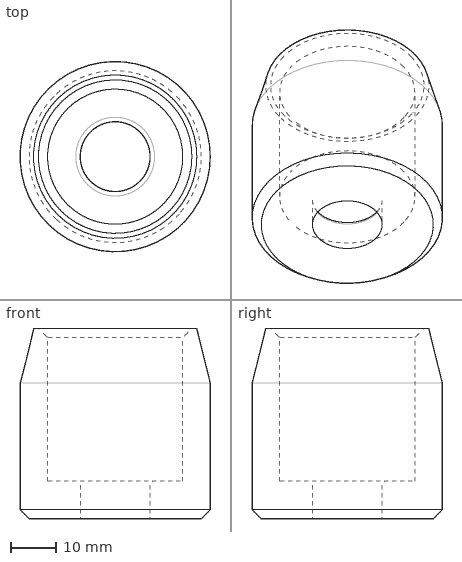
import cadquery as cq

height = 42.0
outer_diameter = 42.0
bottom_chamfer = 2.0

nose_height = 12.0
rim_diameter = 36.05

bore_diameter = 29.8
bore_mouth_diameter = 33.85
bore_mouth_depth = (bore_mouth_diameter - bore_diameter) / 2
floor_thickness = 8.4
floor_margin = 0.4
hole_diameter = 15.37
hole_edge_radius = 1.0


def make_body():
    """Revolve the outer profile about the Z axis."""
    outer_radius = outer_diameter / 2
    rim_radius = rim_diameter / 2
    shoulder_z = height - nose_height
    return (
        cq.Workplane("XZ")
        .moveTo(0, 0)
        .lineTo(outer_radius - bottom_chamfer, 0)
        .lineTo(outer_radius, bottom_chamfer)
        .lineTo(outer_radius, shoulder_z)
        .lineTo(rim_radius, height)
        .lineTo(0, height)
        .close()
        .revolve(360, (0, 0, 0), (0, 1, 0))
    )


def cut_bore(body):
    """Cut the blind bore with its 45 degree mouth, then the rounded-edge hole in the floor."""
    bored = (
        body.faces(">Z").workplane()
        .circle(bore_diameter / 2)
        .cutBlind(floor_thickness - height)
    )
    mouth_edge = cq.selectors.RadiusNthSelector(0)
    bored = bored.faces(">Z").edges(mouth_edge).chamfer(bore_mouth_depth)
    hole = cq.Workplane("XY").circle(hole_diameter / 2).extrude(floor_thickness)
    bored = bored.cut(hole)
    floor = bored.faces(cq.selectors.BoxSelector(
        (-outer_diameter, -outer_diameter, floor_thickness - floor_margin),
        (outer_diameter, outer_diameter, floor_thickness + floor_margin),
    ))
    return floor.edges(cq.selectors.RadiusNthSelector(0)).fillet(hole_edge_radius)


result = cut_bore(make_body())